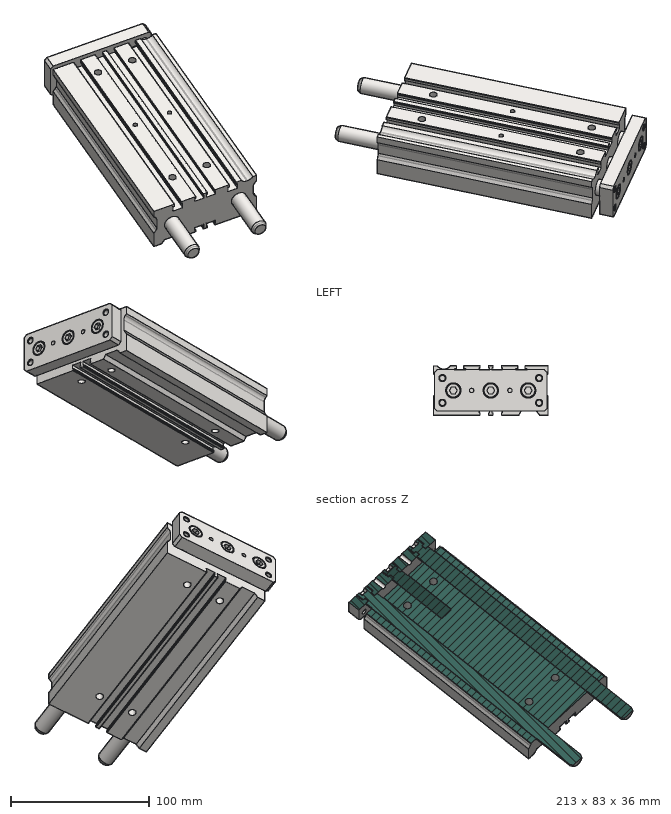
import cadquery as cq
import math


TOTAL_LENGTH = 213.0

PLATE_THICKNESS = 10.0
PLATE_WIDTH = 81.5
PLATE_HEIGHT = 30.0
PLATE_CHAMFER = 2.1
CORNER_HOLE_DIAMETER = 4.0
CORNER_HOLE_RIM_DIAMETER = 5.1
CORNER_HOLE_SPACING_Y = 69.9
CORNER_HOLE_SPACING_Z = 17.9

HOUSING_START = 15.8
HOUSING_LENGTH = 162.3
HOUSING_WIDTH = 83.0
HOUSING_HEIGHT = 36.0
HALF_WIDTH = HOUSING_WIDTH / 2
HALF_HEIGHT = HOUSING_HEIGHT / 2

HOLE_ROW_Y = 13.8
DOWEL_DIAMETER = 3.2
DOWEL_DEPTH = 6.4
MOUNTING_HOLE_DIAMETER = 5.3
MOUNTING_HOLE_SPACING = 120.0
MOUNTING_PATTERN_X = 77.0

OUTER_SLOT_Y = 22.2
OUTER_SLOT_MOUTH = 5.1
OUTER_SLOT_WIDTH = 7.9
OUTER_SLOT_LIP = 2.3
OUTER_SLOT_DEPTH = 6.5
OUTER_SLOT_CHAMFER = 0.5

INNER_SLOT_Y = 4.7
INNER_SLOT_MOUTH = 6.0
INNER_SLOT_WIDTH = 7.2
INNER_SLOT_LIP = 1.7
INNER_SLOT_DEPTH = 4.5
INNER_SLOT_BOTTOM_CHAMFER = 0.5

ROUND_GROOVE_OUTER_Y = 38.5
ROUND_GROOVE_INNER_Y = 29.2
ROUND_GROOVE_FLOOR_Z = 15.5
ROUND_GROOVE_FLOOR_WIDTH = 0.6
LOW_STRIP_Z = 17.7

CHANNEL_INNER_Y = 20.2
CHANNEL_OUTER_Y = 35.4
CHANNEL_DEPTH = 3.2
CHANNEL_INNER_SLOPE = 2.0
CHANNEL_OUTER_SLOPE = 2.5

RECESS_DEPTH = 2.5
RECESS_LEDGE_DEPTH = 1.0
RECESS_STEP_DEPTH = 1.7
RECESS_TOP_Z = 12.1
RECESS_LEDGE_Z = 11.0
RECESS_FLOOR_TOP_Z = 7.9
RECESS_FLOOR_BOTTOM_Z = -0.5
RECESS_STEP_Z = -2.1
RECESS_BOTTOM_Z = -4.5

GUIDE_ROD_Y = 27.0
GUIDE_ROD_DIAMETER = 12.0
GUIDE_END_LENGTH = 2.5
GUIDE_END_MIDDLE = 1.3
GUIDE_END_MIDDLE_RADIUS = 5.3
GUIDE_END_RADIUS = 4.5
PISTON_ROD_DIAMETER = 10.0
PISTON_ROD_INSERTION = 42.5
HEAD_DIAMETER = 10.0
HEAD_LENGTH = 6.0
HEAD_CHAMFER = 0.2
HEAD_SEAT_DIAMETER = 11.0
NECK_DIAMETER = 6.0
SOCKET_ACROSS_FLATS = 5.0
SOCKET_DEPTH = 3.0


def bar_along_x(outline, start, length):
    """Extrude a closed outline, drawn in Y and Z, along +X."""
    return outline.close().extrude(length).translate((start, 0, 0))


def cylinder_along_x(diameter, start, length, y=0, z=0):
    disc = cq.Workplane("YZ").center(y, z).circle(diameter / 2)
    return disc.extrude(length).translate((start, 0, 0))


def make_t_slot(y, mouth, width, lip, depth):
    """Cutter for a T-slot open at the top of the housing."""
    ledge = HALF_HEIGHT - lip
    floor = HALF_HEIGHT - depth
    outline = cq.Workplane("YZ").polyline(
        [
            (y - mouth / 2, HALF_HEIGHT),
            (y - mouth / 2, ledge),
            (y - width / 2, ledge),
            (y - width / 2, floor),
            (y + width / 2, floor),
            (y + width / 2, ledge),
            (y + mouth / 2, ledge),
            (y + mouth / 2, HALF_HEIGHT),
        ]
    )
    return bar_along_x(outline, HOUSING_START, HOUSING_LENGTH)


def make_mouth_chamfer(y, mouth, chamfer):
    """Cutter that bevels both edges of a slot mouth at the top of the housing."""
    outline = cq.Workplane("YZ").polyline(
        [
            (y - mouth / 2 - chamfer, HALF_HEIGHT),
            (y - mouth / 2, HALF_HEIGHT - chamfer),
            (y + mouth / 2, HALF_HEIGHT - chamfer),
            (y + mouth / 2 + chamfer, HALF_HEIGHT),
        ]
    )
    return bar_along_x(outline, HOUSING_START, HOUSING_LENGTH)


def tangent_radius(run, rise):
    """Radius of an arc that starts level and climbs by `rise` over `run`."""
    return (run**2 + rise**2) / (2 * rise)


def make_round_groove():
    """Cutter for the groove with two round flanks, together with the low strip beside it."""
    floor_inner_y = (ROUND_GROOVE_OUTER_Y + ROUND_GROOVE_INNER_Y - ROUND_GROOVE_FLOOR_WIDTH) / 2
    floor_outer_y = floor_inner_y + ROUND_GROOVE_FLOOR_WIDTH
    inner_radius = tangent_radius(
        floor_inner_y - ROUND_GROOVE_INNER_Y, HALF_HEIGHT - ROUND_GROOVE_FLOOR_Z
    )
    outer_radius = tangent_radius(
        ROUND_GROOVE_OUTER_Y - floor_outer_y, LOW_STRIP_Z - ROUND_GROOVE_FLOOR_Z
    )
    outline = (
        cq.Workplane("YZ")
        .moveTo(ROUND_GROOVE_INNER_Y, HALF_HEIGHT)
        .radiusArc((floor_inner_y, ROUND_GROOVE_FLOOR_Z), -inner_radius)
        .lineTo(floor_outer_y, ROUND_GROOVE_FLOOR_Z)
        .radiusArc((ROUND_GROOVE_OUTER_Y, LOW_STRIP_Z), -outer_radius)
        .lineTo(HALF_WIDTH, LOW_STRIP_Z)
        .lineTo(HALF_WIDTH, HALF_HEIGHT)
    )
    return bar_along_x(outline, HOUSING_START, HOUSING_LENGTH)


def make_bottom_channel():
    floor = CHANNEL_DEPTH - HALF_HEIGHT
    outline = cq.Workplane("YZ").polyline(
        [
            (-CHANNEL_INNER_Y, -HALF_HEIGHT),
            (-CHANNEL_INNER_Y - CHANNEL_INNER_SLOPE, floor),
            (-CHANNEL_OUTER_Y + CHANNEL_OUTER_SLOPE, floor),
            (-CHANNEL_OUTER_Y, -HALF_HEIGHT),
        ]
    )
    return bar_along_x(outline, HOUSING_START, HOUSING_LENGTH)


def make_side_recess():
    """Cutter for the recess in the -Y side: rounded above, with two slopes below."""
    side = -HALF_WIDTH
    floor = side + RECESS_DEPTH
    outline = (
        cq.Workplane("YZ")
        .moveTo(side, RECESS_BOTTOM_Z)
        .lineTo(side + RECESS_STEP_DEPTH, RECESS_STEP_Z)
        .lineTo(floor, RECESS_FLOOR_BOTTOM_Z)
        .lineTo(floor, RECESS_FLOOR_TOP_Z)
        .tangentArcPoint((side + RECESS_LEDGE_DEPTH, RECESS_LEDGE_Z), relative=False)
        .lineTo(side, RECESS_TOP_Z)
    )
    return bar_along_x(outline, HOUSING_START, HOUSING_LENGTH)


def make_housing():
    housing = cq.Workplane("XY").box(HOUSING_LENGTH, HOUSING_WIDTH, HOUSING_HEIGHT)
    housing = housing.translate((HOUSING_START + HOUSING_LENGTH / 2, 0, 0))

    housing = housing.cut(make_round_groove()).cut(make_bottom_channel())
    recess = make_side_recess()
    housing = housing.cut(recess).cut(recess.mirror("XZ"))
    for side in (-1, 1):
        outer_y = side * OUTER_SLOT_Y
        inner_y = side * INNER_SLOT_Y
        outer_slot = make_t_slot(
            outer_y, OUTER_SLOT_MOUTH, OUTER_SLOT_WIDTH, OUTER_SLOT_LIP, OUTER_SLOT_DEPTH
        )
        outer_chamfer = make_mouth_chamfer(outer_y, OUTER_SLOT_MOUTH, OUTER_SLOT_CHAMFER)
        housing = housing.cut(outer_slot).cut(outer_chamfer)
        inner_slot = make_t_slot(
            inner_y, INNER_SLOT_MOUTH, INNER_SLOT_WIDTH, INNER_SLOT_LIP, INNER_SLOT_DEPTH
        )
        bottom_chamfer = make_mouth_chamfer(inner_y, INNER_SLOT_MOUTH, INNER_SLOT_BOTTOM_CHAMFER)
        housing = housing.cut(inner_slot)
        housing = housing.cut(inner_slot.mirror("XY")).cut(bottom_chamfer.mirror("XY"))

    middle_x = HOUSING_START + MOUNTING_PATTERN_X
    top = cq.Workplane("XY", origin=(middle_x, 0, HALF_HEIGHT))
    mounting_holes = (
        top.rarray(MOUNTING_HOLE_SPACING, 2 * HOLE_ROW_Y, 2, 2)
        .circle(MOUNTING_HOLE_DIAMETER / 2)
        .extrude(-HOUSING_HEIGHT)
    )
    dowel_holes = (
        top.pushPoints([(0, -HOLE_ROW_Y), (0, HOLE_ROW_Y)])
        .circle(DOWEL_DIAMETER / 2)
        .extrude(-DOWEL_DEPTH)
    )
    housing = housing.cut(mounting_holes).cut(dowel_holes)

    housing = housing.cut(cylinder_along_x(PISTON_ROD_DIAMETER, HOUSING_START, PISTON_ROD_INSERTION))
    for side in (-1, 1):
        bore = cylinder_along_x(GUIDE_ROD_DIAMETER, HOUSING_START, HOUSING_LENGTH, side * GUIDE_ROD_Y)
        housing = housing.cut(bore)
    return housing


def make_plate():
    plate = (
        cq.Workplane("XY")
        .box(PLATE_THICKNESS, PLATE_WIDTH, PLATE_HEIGHT)
        .edges("|X")
        .chamfer(PLATE_CHAMFER)
        .translate((PLATE_THICKNESS / 2, 0, 0))
    )

    for y in (-GUIDE_ROD_Y, 0, GUIDE_ROD_Y):
        plate = plate.cut(cylinder_along_x(HEAD_SEAT_DIAMETER, 0, HEAD_LENGTH, y))
        plate = plate.cut(cylinder_along_x(NECK_DIAMETER, 0, PLATE_THICKNESS, y))

    for y in (-HOLE_ROW_Y, HOLE_ROW_Y):
        plate = plate.cut(cylinder_along_x(DOWEL_DIAMETER, 0, PLATE_THICKNESS, y))

    rim_radius = CORNER_HOLE_RIM_DIAMETER / 2
    hole_radius = CORNER_HOLE_DIAMETER / 2
    countersink = cq.Solid.makeCone(
        rim_radius, hole_radius, rim_radius - hole_radius, cq.Vector(0, 0, 0), cq.Vector(1, 0, 0)
    )
    for y in (-CORNER_HOLE_SPACING_Y / 2, CORNER_HOLE_SPACING_Y / 2):
        for z in (-CORNER_HOLE_SPACING_Z / 2, CORNER_HOLE_SPACING_Z / 2):
            plate = plate.cut(cylinder_along_x(CORNER_HOLE_DIAMETER, 0, PLATE_THICKNESS, y, z))
            plate = plate.cut(cq.Workplane(countersink.translate(cq.Vector(0, y, z))))
    return plate


def make_head():
    """Socket head and neck at the front end of a rod, flush with the front of the plate."""
    head = cylinder_along_x(HEAD_DIAMETER, 0, HEAD_LENGTH).faces("<X").chamfer(HEAD_CHAMFER)
    neck = cylinder_along_x(NECK_DIAMETER, HEAD_LENGTH, PLATE_THICKNESS - HEAD_LENGTH)
    across_corners = SOCKET_ACROSS_FLATS / math.cos(math.pi / 6)
    socket = cq.Workplane("YZ").polygon(6, across_corners).extrude(SOCKET_DEPTH)
    return head.cut(socket).union(neck)


def make_piston_rod():
    length = HOUSING_START + PISTON_ROD_INSERTION - PLATE_THICKNESS
    return make_head().union(cylinder_along_x(PISTON_ROD_DIAMETER, PLATE_THICKNESS, length))


def make_guide_rod(y):
    """Guide rod through the housing, with a two-step taper at its rear end."""
    radius = GUIDE_ROD_DIAMETER / 2
    shaft = (
        cq.Workplane("XY")
        .polyline(
            [
                (PLATE_THICKNESS, 0),
                (PLATE_THICKNESS, radius),
                (TOTAL_LENGTH - GUIDE_END_LENGTH, radius),
                (TOTAL_LENGTH - GUIDE_END_MIDDLE, GUIDE_END_MIDDLE_RADIUS),
                (TOTAL_LENGTH, GUIDE_END_RADIUS),
                (TOTAL_LENGTH, 0),
            ]
        )
        .close()
        .revolve(360, (0, 0, 0), (1, 0, 0))
    )
    return make_head().union(shaft).translate((0, y, 0))


housing = make_housing()
plate = make_plate()
piston_rod = make_piston_rod()
guide_rods = [make_guide_rod(side * GUIDE_ROD_Y) for side in (-1, 1)]

result = cq.Compound.makeCompound(
    [housing.val(), plate.val(), piston_rod.val(), *[rod.val() for rod in guide_rods]]
)